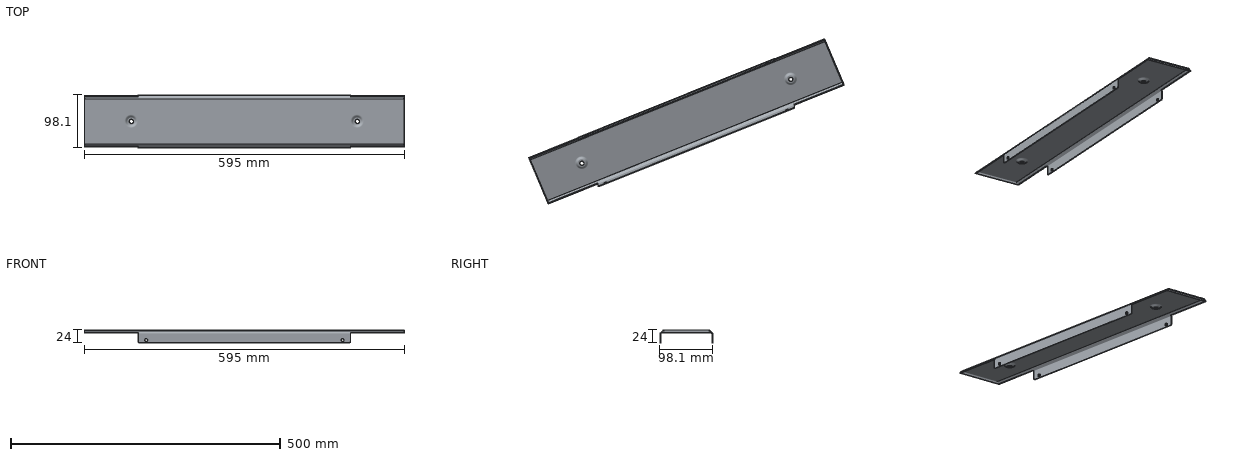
import cadquery as cq
import math

length = 595.0
width = 98.11
height = 23.99
sheet = 1.5

bend_radius = 2.0
inner_bend_radius = bend_radius - sheet

ridge_half_width = 42.7
ridge_bend_radius = 1.6
rim_drop = 5.2

flap_length = 395.0
flap_corner_radius = 3.0
flap_hole_diameter = 5.0
flap_hole_spacing = 365.0
flap_hole_z = -18.8

dimple_spacing = 420.0
dimple_floor_radius = 7.0
dimple_depth = 3.7
dimple_lip_radius = 4.0
screw_hole_diameter = 7.5

half_fold = math.radians(45 / 2)
diagonal = math.sqrt(0.5)
sheet_diagonal = sheet * diagonal
corner_shift = sheet * math.tan(half_fold)


def prism(outline, size_x):
    """Extrude a (y, z) outline symmetrically about the YZ plane."""
    return cq.Workplane("YZ").polyline(outline).close().extrude(size_x / 2, both=True)


def mirrored_in_y(half_outline):
    """Close a right-hand (y, z) outline with its reflection."""
    return half_outline + [(-y, z) for y, z in reversed(half_outline)]


def panel_shell():
    """Hollow panel with sloped long edges and rounded, square-folded short ends."""
    rim_y = ridge_half_width + rim_drop
    outer_outline = [(ridge_half_width, 0), (rim_y, -rim_drop)]
    inner_outline = [
        (ridge_half_width - corner_shift, -sheet),
        (rim_y - 2 * sheet_diagonal, -rim_drop),
    ]
    outer = prism(mirrored_in_y(outer_outline), length)
    outer = outer.faces(">Z").edges("|X").fillet(ridge_bend_radius)
    for side in (-1, 1):
        outer = outer.cut(end_bend_waste(side))
    inner = prism(mirrored_in_y(inner_outline), length - 2 * sheet)
    inner = inner.faces(">Z").edges("|X").fillet(ridge_bend_radius - sheet)
    inner = inner.faces(">Z").edges("|Y").fillet(inner_bend_radius)
    return outer.cut(inner)


def end_bend_waste(side):
    """Material outside the rounded bend along one short edge of the panel."""
    end_x = side * length / 2
    bend_start_x = end_x - side * bend_radius
    block = cq.Workplane("XY").box(2 * bend_radius, width, 2 * bend_radius)
    block = block.translate((end_x, 0, 0))
    bend = cq.Workplane("XZ").center(bend_start_x, -bend_radius)
    return block.cut(bend.circle(bend_radius).extrude(width, both=True))


def side_flap():
    """Continuation of the +Y sloped edge, bent down into a vertical flap."""
    outer_y = width / 2
    inner_y = outer_y - sheet
    outer_bend_z = ridge_half_width - outer_y
    inner_bend_z = outer_bend_z - corner_shift
    start_y = ridge_half_width + rim_drop / 2
    outline = [
        (start_y, ridge_half_width - start_y),
        (outer_y, outer_bend_z),
        (outer_y, -height),
        (inner_y, -height),
        (inner_y, inner_bend_z),
        (start_y - sheet_diagonal, ridge_half_width - start_y - sheet_diagonal),
    ]
    flap = prism(outline, flap_length)
    outer_bend = cq.NearestToPointSelector((0, outer_y, outer_bend_z))
    flap = flap.edges(outer_bend).fillet(bend_radius)
    inner_bend = cq.NearestToPointSelector((0, inner_y, inner_bend_z))
    flap = flap.edges(inner_bend).fillet(inner_bend_radius)
    return flap.faces("<Z").edges("|Y").fillet(flap_corner_radius)


def flap_holes():
    """Cross holes through both flaps."""
    holes = cq.Workplane("XZ").center(0, flap_hole_z)
    holes = holes.rarray(flap_hole_spacing, 1, 2, 1)
    return holes.circle(flap_hole_diameter / 2).extrude(width, both=True)


def dimple_cup(floor_radius, top_z, lip_radius, floor_edge_radius):
    """Solid of revolution filling a 45-degree dimple below top_z.

    The wall meets the panel in a rounded lip and the floor in a rounded edge.
    """
    floor_z = top_z - dimple_depth
    mouth_radius = floor_radius + dimple_depth

    lip_tangent = lip_radius * math.tan(half_fold)
    lip_center = (mouth_radius + lip_tangent, top_z - lip_radius)
    lip_end = (mouth_radius - lip_tangent * diagonal, top_z - lip_tangent * diagonal)
    lip_angle = math.radians(90) + half_fold
    lip_middle = (
        lip_center[0] + lip_radius * math.cos(lip_angle),
        lip_center[1] + lip_radius * math.sin(lip_angle),
    )

    floor_tangent = floor_edge_radius * math.tan(half_fold)
    floor_center = (floor_radius - floor_tangent, floor_z + floor_edge_radius)
    wall_end = (floor_radius + floor_tangent * diagonal, floor_z + floor_tangent * diagonal)
    floor_angle = math.radians(-90) + half_fold
    floor_middle = (
        floor_center[0] + floor_edge_radius * math.cos(floor_angle),
        floor_center[1] + floor_edge_radius * math.sin(floor_angle),
    )

    profile = (
        cq.Workplane("XZ")
        .moveTo(0, top_z)
        .lineTo(lip_center[0], top_z)
        .threePointArc(lip_middle, lip_end)
        .lineTo(*wall_end)
        .threePointArc(floor_middle, (floor_center[0], floor_z))
        .lineTo(0, floor_z)
        .close()
    )
    return profile.revolve(360, (0, 0, 0), (0, 1, 0))


def add_dimple(body, x):
    """Press one dimple with a central screw hole into the panel at the given x."""
    recess = dimple_cup(dimple_floor_radius, 0, dimple_lip_radius, inner_bend_radius)
    underside = dimple_cup(
        dimple_floor_radius + corner_shift, -sheet, dimple_lip_radius - sheet, bend_radius
    )
    screw_hole = cq.Workplane("XY").circle(screw_hole_diameter / 2).extrude(-height)
    body = body.union(underside.translate((x, 0, 0)))
    return body.cut(recess.union(screw_hole).translate((x, 0, 0)))


rear_flap = side_flap()
result = panel_shell().union(rear_flap).union(rear_flap.mirror("XZ")).cut(flap_holes())
for dimple_x in (-dimple_spacing / 2, dimple_spacing / 2):
    result = add_dimple(result, dimple_x)